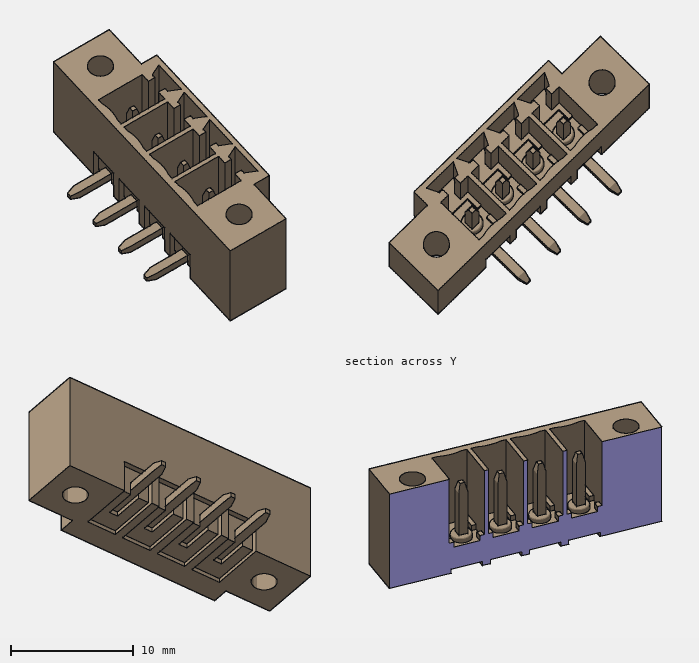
import cadquery as cq


LENGTH = 24.3
HEIGHT = 9.2
FLANGE_DEPTH = 5.64
BODY_LENGTH = 15.48
BODY_DEPTH = 7.2

SCREW_HOLE_DIAMETER = 2.11
SCREW_HOLE_X = 9.53
SCREW_HOLE_Y = FLANGE_DEPTH / 2

PIN_COUNT = 4
PITCH = 3.5
PIN_XS = [(i - (PIN_COUNT - 1) / 2) * PITCH for i in range(PIN_COUNT)]

CAVITY_WIDTH = 3.1
WELL_FRONT = 0.63
WELL_BACK = 5.03
NECK_WIDTH = 1.39
NECK_BACK = 5.69
DOVETAIL_WIDTH = 2.11
DOVETAIL_BACK = 6.7
CAVITY_FLOOR = 3.01

BULGE_WIDTH = 2.15
BULGE_HEIGHT = 0.15

SINK_DEPTH = 0.49
SINK_WIDTH = 2.28
SINK_BACK = 4.67
CROSS_SLOT_SPAN = 1.02
SINK_FLOOR = CAVITY_FLOOR - SINK_DEPTH

PIN_SIZE = 0.8
PIN_TIP_SIZE = 0.41
PIN_TIP_LENGTH = 0.8
PIN_REACH = 3.5
PIN_Y = 3.0
PIN_Z = 1.22
PIN_TOP = 7.9

COLLAR_DIAMETER = 1.8
COLLAR_EDGE_RADIUS = 0.2
COLLAR_HEIGHT = 0.49

RECESS_WIDTH = 2.77
RECESS_HEIGHT = 3.04
RECESS_DEPTH = 0.49
CHANNEL_HEIGHT = 0.4
CHANNEL_BACK = WELL_BACK
PIN_BACK = PIN_Y + PIN_SIZE / 2


def box(x_center, width, y_start, y_end, z_start, z_end):
    """A block centred on x_center and given by its Y and Z limits."""
    size = (width, y_end - y_start, z_end - z_start)
    corner = (x_center - width / 2, y_start, z_start)
    return cq.Workplane("XY").box(*size, centered=False).translate(corner)


def make_shell():
    """The solid block: a long flange with a deeper middle, and its two screw holes."""
    flange = box(0, LENGTH, 0, FLANGE_DEPTH, 0, HEIGHT)
    middle = box(0, BODY_LENGTH, 0, BODY_DEPTH, 0, HEIGHT)
    screw_holes = (
        cq.Workplane("XY")
        .pushPoints([(-SCREW_HOLE_X, SCREW_HOLE_Y), (SCREW_HOLE_X, SCREW_HOLE_Y)])
        .circle(SCREW_HOLE_DIAMETER / 2)
        .extrude(HEIGHT)
    )
    return flange.union(middle).cut(screw_holes)


def make_bulge(x):
    """The low arched rib on the front wall of a cavity."""
    return (
        cq.Workplane("XY", origin=(x, WELL_FRONT, SINK_FLOOR))
        .moveTo(-BULGE_WIDTH / 2, 0)
        .threePointArc((0, BULGE_HEIGHT), (BULGE_WIDTH / 2, 0))
        .close()
        .extrude(HEIGHT - SINK_FLOOR)
    )


def make_collar(x):
    """The round-edged collar that stands on the sunken floor around a pin."""
    return (
        cq.Workplane("XY", origin=(x, PIN_Y, SINK_FLOOR))
        .circle(COLLAR_DIAMETER / 2)
        .extrude(COLLAR_HEIGHT)
        .faces(">Z")
        .edges()
        .fillet(COLLAR_EDGE_RADIUS)
    )


def make_cavity(x):
    """The space of one plug cavity, open at the top."""
    well = box(x, CAVITY_WIDTH, WELL_FRONT, WELL_BACK, CAVITY_FLOOR, HEIGHT)
    neck = box(x, NECK_WIDTH, WELL_BACK, NECK_BACK, CAVITY_FLOOR, HEIGHT)
    dovetail = (
        cq.Workplane("XY", origin=(x, 0, CAVITY_FLOOR))
        .moveTo(-DOVETAIL_WIDTH / 2, NECK_BACK)
        .lineTo(DOVETAIL_WIDTH / 2, NECK_BACK)
        .lineTo(CAVITY_WIDTH / 2, DOVETAIL_BACK)
        .lineTo(-CAVITY_WIDTH / 2, DOVETAIL_BACK)
        .close()
        .extrude(HEIGHT - CAVITY_FLOOR)
    )
    sink = box(x, SINK_WIDTH, WELL_FRONT, SINK_BACK, SINK_FLOOR, CAVITY_FLOOR)
    cross_slot = box(
        x,
        CAVITY_WIDTH,
        PIN_Y - CROSS_SLOT_SPAN / 2,
        PIN_Y + CROSS_SLOT_SPAN / 2,
        SINK_FLOOR,
        CAVITY_FLOOR,
    )
    space = well.union(neck).union(dovetail).union(sink).union(cross_slot)
    return space.cut(make_bulge(x)).cut(make_collar(x))


def make_pin_opening(x):
    """The front recess, the underside channel and the slot through which a pin is fitted."""
    recess = box(x, RECESS_WIDTH, 0, RECESS_DEPTH, 0, RECESS_HEIGHT)
    channel = box(x, RECESS_WIDTH, 0, CHANNEL_BACK, 0, CHANNEL_HEIGHT)
    slot = box(x, PIN_SIZE, 0, PIN_BACK, 0, PIN_Z)
    return recess.union(channel).union(slot)


def make_tapered_bar(length):
    """A square bar along +Z from the origin, with a tapered tip at its far end."""
    shank_length = length - PIN_TIP_LENGTH
    shank = cq.Workplane("XY").rect(PIN_SIZE, PIN_SIZE).extrude(shank_length)
    tip = (
        cq.Workplane("XY", origin=(0, 0, shank_length))
        .rect(PIN_SIZE, PIN_SIZE)
        .workplane(offset=PIN_TIP_LENGTH)
        .rect(PIN_TIP_SIZE, PIN_TIP_SIZE)
        .loft()
    )
    return shank.union(tip)


def make_pin(x):
    """One angled pin: an upright contact and a tail that leaves through the front."""
    contact_base = PIN_Z - PIN_SIZE / 2
    contact = make_tapered_bar(PIN_TOP - contact_base).translate((x, PIN_Y, contact_base))
    tail = (
        make_tapered_bar(PIN_BACK + PIN_REACH)
        .rotate((0, 0, 0), (1, 0, 0), 90)
        .translate((x, PIN_BACK, PIN_Z))
    )
    return contact.union(tail)


def make_housing(pins):
    """The shell with its cavities and pin openings, fitted around the pins."""
    housing = make_shell()
    for x in PIN_XS:
        housing = housing.cut(make_cavity(x)).cut(make_pin_opening(x))
    for pin in pins:
        housing = housing.cut(pin)
    return housing


pins = [make_pin(x) for x in PIN_XS]
housing = make_housing(pins)

result = cq.Compound.makeCompound([housing.val(), *[pin.val() for pin in pins]])